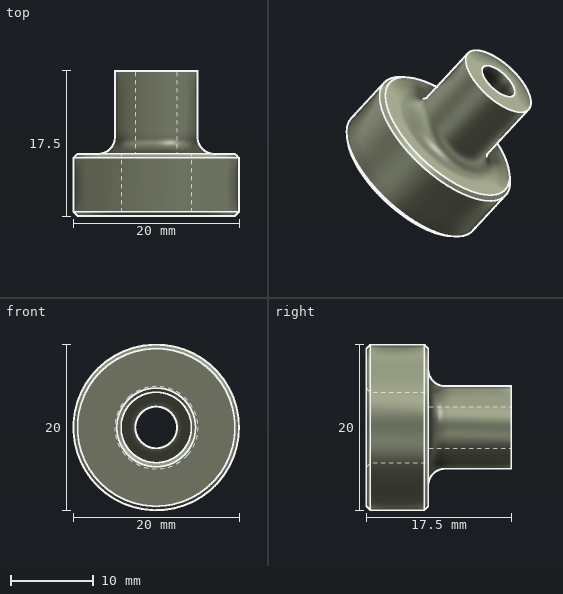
import cadquery as cq
import math

head_diameter = 20.0
head_length = 7.5
shank_diameter = head_diameter / 2
shank_length = 10.0
total_length = head_length + shank_length
root_radius = 2.0
edge_chamfer = 0.5

recess_diameter = 8.5
recess_depth = head_length
hole_diameter = 5.0

head_radius = head_diameter / 2
shank_radius = shank_diameter / 2
recess_radius = recess_diameter / 2
hole_radius = hole_diameter / 2

arc_inset = root_radius * (1 - math.cos(math.pi / 4))
root_midpoint = (shank_radius + arc_inset, head_length + arc_inset)

half_section = (
    cq.Workplane("XY")
    .moveTo(recess_radius + edge_chamfer, 0)
    .lineTo(head_radius - edge_chamfer, 0)
    .lineTo(head_radius, edge_chamfer)
    .lineTo(head_radius, head_length - edge_chamfer)
    .lineTo(head_radius - edge_chamfer, head_length)
    .lineTo(shank_radius + root_radius, head_length)
    .threePointArc(root_midpoint, (shank_radius, head_length + root_radius))
    .lineTo(shank_radius, total_length)
    .lineTo(hole_radius, total_length)
    .lineTo(hole_radius, recess_depth)
    .lineTo(recess_radius, recess_depth)
    .lineTo(recess_radius, edge_chamfer)
    .close()
)

result = half_section.revolve(360, (0, 0, 0), (0, 1, 0))